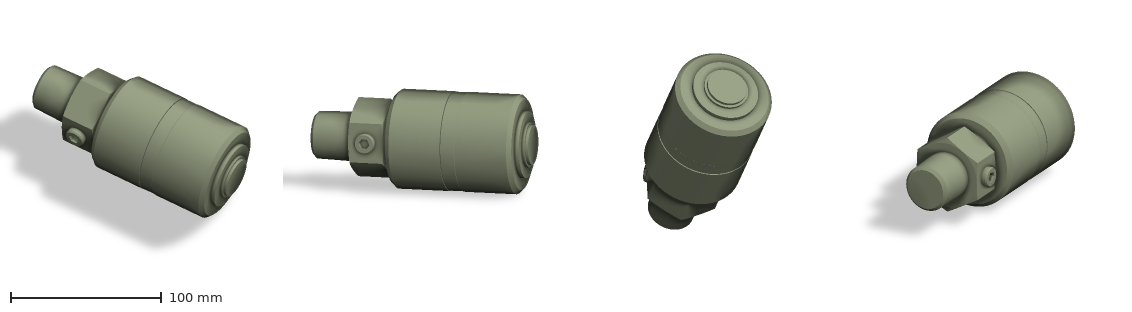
import math

import cadquery as cq


taper_end_x = 24.9
hex_start_x = 28.2
hex_end_x = 52.4
body_start_x = 55.5
band_start_x = 93.7
band_end_x = 103.9
body_end_x = 142.3
collar_end_x = 145.4
step_end_x = 147.2
total_length = 149.2

pipe_diameter = 33.02
neck_diameter = 44.45
body_diameter = 66.4
band_diameter = 65.8
step_diameter = 30.0
end_diameter = 26.62

pipe_taper = 1 / 16
tip_chamfer = 2.1

body_front_chamfer_length = 3.2
body_rear_chamfer_length = 2.8
body_chamfer_height = 2.9
band_edge_chamfer = 0.5

hex_across_flats = 46.2
hex_chamfer_diameter = 45.8
hex_chamfer_angle = 15.0

plug_diameter = 13.5
plug_x = (hex_start_x + hex_end_x) / 2
plug_length = 27.4
plug_chamfer_height = 1.1
plug_chamfer_width = 0.6
socket_across_flats = 6.6
socket_depth = 4.0
socket_tilt = -5.0


def cylinder(start_x, end_x, diameter):
    """Round section along the X axis."""
    return cq.Workplane("YZ", origin=(start_x, 0, 0)).circle(diameter / 2).extrude(end_x - start_x)


def hexagon_corner_diameter(across_flats):
    """Distance across the corners of a regular hexagon."""
    return across_flats / math.cos(math.radians(30))


def revolve_about_x(points):
    """Turn a closed half profile of (x, radius) points about the X axis."""
    return cq.Workplane("XY").polyline(points).close().revolve(360, (0, 0, 0), (1, 0, 0))


def make_pipe_end():
    """Tapered pipe end with a chamfered tip and a short straight run-out."""
    large_radius = pipe_diameter / 2
    small_radius = large_radius - pipe_taper * (taper_end_x - tip_chamfer) / 2
    return revolve_about_x([
        (0, 0),
        (0, small_radius - tip_chamfer),
        (tip_chamfer, small_radius),
        (taper_end_x, large_radius),
        (hex_start_x, large_radius),
        (hex_start_x, 0),
    ])


def make_hexagon():
    """Wrench hexagon whose corners are trimmed by a shallow cone at each end."""
    corner_diameter = hexagon_corner_diameter(hex_across_flats)
    prism = (
        cq.Workplane("YZ", origin=(hex_start_x, 0, 0))
        .transformed(rotate=(0, 0, 90))
        .polygon(6, corner_diameter)
        .extrude(hex_end_x - hex_start_x)
    )
    face_radius = hex_chamfer_diameter / 2
    corner_radius = corner_diameter / 2
    cone_length = (corner_radius - face_radius) * math.tan(math.radians(hex_chamfer_angle))
    trimming_envelope = revolve_about_x([
        (hex_start_x, 0),
        (hex_start_x, face_radius),
        (hex_start_x + cone_length, corner_radius),
        (hex_end_x - cone_length, corner_radius),
        (hex_end_x, face_radius),
        (hex_end_x, 0),
    ])
    return prism.intersect(trimming_envelope)


def make_body():
    """Two chamfered sleeves with a slightly smaller band between them."""
    outer_radius = body_diameter / 2
    face_radius = outer_radius - body_chamfer_height
    band_radius = band_diameter / 2
    band_edge_radius = band_radius - band_edge_chamfer
    return revolve_about_x([
        (body_start_x, 0),
        (body_start_x, face_radius),
        (body_start_x + body_front_chamfer_length, outer_radius),
        (band_start_x, outer_radius),
        (band_start_x, band_edge_radius),
        (band_start_x + band_edge_chamfer, band_radius),
        (band_end_x - band_edge_chamfer, band_radius),
        (band_end_x, band_edge_radius),
        (band_end_x, outer_radius),
        (body_end_x - body_rear_chamfer_length, outer_radius),
        (body_end_x, face_radius),
        (body_end_x, 0),
    ])


def make_plug():
    """Plug reaching from the axis out through the -Y flat, widening outward up to a chamfered rim."""
    rim_distance = plug_length - plug_chamfer_height
    rim_radius = plug_diameter / 2
    inner_radius = rim_radius - pipe_taper * rim_distance / 2
    half_profile = [
        (0, 0),
        (inner_radius, 0),
        (rim_radius, -rim_distance),
        (rim_radius - plug_chamfer_width, -plug_length),
        (0, -plug_length),
    ]
    plug = cq.Workplane("XY").polyline(half_profile).close().revolve(360, (0, 0, 0), (0, 1, 0))
    return plug.translate((plug_x, 0, 0))


def make_socket():
    """Hexagonal key socket cut into the outer face of the plug."""
    return (
        cq.Workplane("XZ", origin=(plug_x, -plug_length, 0))
        .transformed(rotate=(0, 0, socket_tilt))
        .polygon(6, hexagon_corner_diameter(socket_across_flats))
        .extrude(-socket_depth)
    )


result = (
    make_pipe_end()
    .union(make_hexagon())
    .union(cylinder(hex_end_x, body_start_x, neck_diameter))
    .union(make_body())
    .union(cylinder(body_end_x, collar_end_x, neck_diameter))
    .union(cylinder(collar_end_x, step_end_x, step_diameter))
    .union(cylinder(step_end_x, total_length, end_diameter))
    .union(make_plug())
    .cut(make_socket())
)